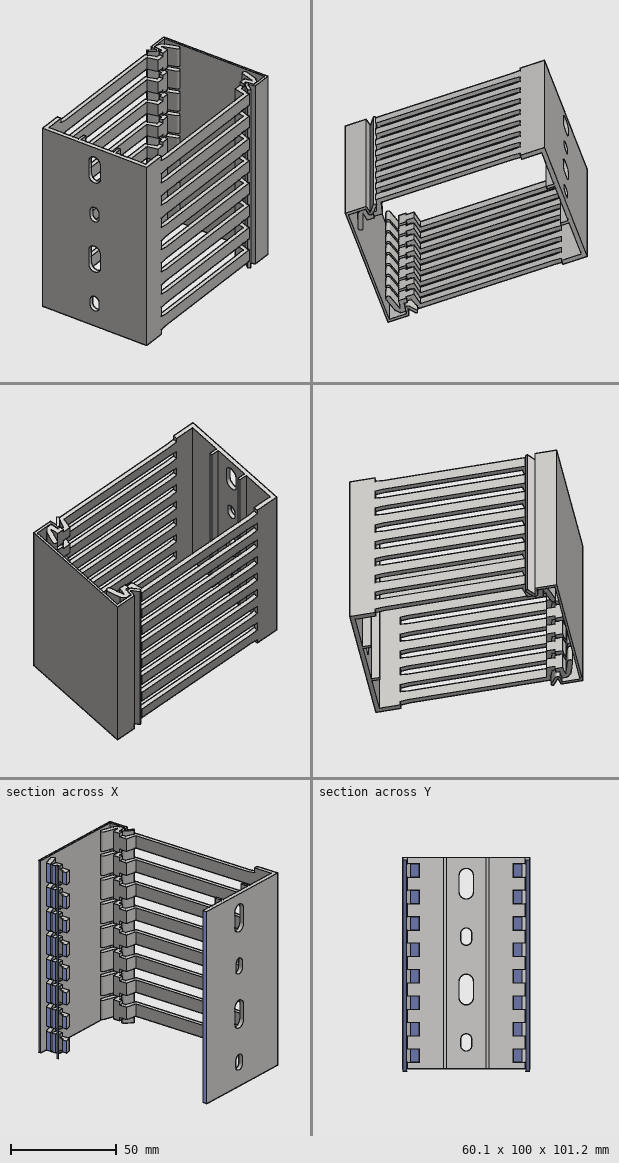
import cadquery as cq


width = 60.1
depth = 100.0
length = 100.0
cover_shift = 1.2
half_width = width / 2

wall = 2.2
rib_height = 6.2
rib_outer_x = 10.7
rib_thickness = 1.3

finger_count = 8
finger_pitch = length / finger_count
finger_height = 6.5
head_height = 10.0
slot_end = 12.3
slot_taper_end = 16.2
slot_end_inset = 0.5
head_step_drop = 11.8

wall_top_drop = 15.3
throat_inset = 5.7
neck_inset = 7.9
head_side_inset = 1.6
arm_tip_inset = 10.6
arm_tip_drop = 3.9
arm_radius = 1.2
arm_direction = cq.Vector(0.95, 0.3).normalized()

mount_count = 4
mount_pitch = length / mount_count
large_mount = (14.4, 6.7)
small_mount = (8.1, 5.1)

cover_wall = 1.3
cover_face = 1.1


def left_point(inset, drop):
    """Profile point near the left wall, from its inset and its drop below the cover face."""
    return (inset - half_width, depth - drop)


def both_sides(left_half):
    """Join the left half of a symmetric body with its mirror image."""
    return left_half.union(left_half.mirror("YZ"))


def channel_half():
    """Left half of the channel: floor, side wall and the snap head on top of it."""
    wall_top = left_point(0, wall_top_drop)
    ledge_start = left_point(1.4, wall_top_drop)
    ledge_end = left_point(throat_inset, 13.7)
    catch_root = left_point(throat_inset, 10.1)
    catch_tip = left_point(head_side_inset, 9.6)
    head_shoulder = left_point(head_side_inset, 7.0)
    arm_root_outer = left_point(3.7, 4.9)
    arm_root_inner = left_point(3.9, 7.4)
    head_top_outer = left_point(throat_inset, 7.9)
    head_top_inner = left_point(neck_inset, 8.1)
    neck_bottom = left_point(neck_inset, 15.9)
    finger_inner_top = left_point(wall, 17.1)

    along = arm_direction * arm_radius
    across = cq.Vector(along.y, along.x)
    arm_tip_outer = left_point(arm_tip_inset - across.x, arm_tip_drop - across.y)
    arm_tip_end = left_point(arm_tip_inset + along.x, arm_tip_drop - along.y)
    arm_tip_inner = left_point(arm_tip_inset + across.x, arm_tip_drop + across.y)

    rib_inner_x = rib_outer_x - rib_thickness
    return (
        cq.Workplane("XY")
        .moveTo(0, 0)
        .lineTo(-half_width, 0)
        .lineTo(*wall_top)
        .lineTo(*ledge_start)
        .lineTo(*ledge_end)
        .lineTo(*catch_root)
        .lineTo(*catch_tip)
        .lineTo(*head_shoulder)
        .lineTo(*arm_root_outer)
        .lineTo(*arm_tip_outer)
        .threePointArc(arm_tip_end, arm_tip_inner)
        .lineTo(*arm_root_inner)
        .lineTo(*head_top_outer)
        .lineTo(*head_top_inner)
        .lineTo(*neck_bottom)
        .lineTo(*finger_inner_top)
        .lineTo(wall - half_width, wall)
        .lineTo(-rib_outer_x, wall)
        .lineTo(-rib_outer_x, rib_height)
        .lineTo(-rib_inner_x, rib_height)
        .lineTo(-rib_inner_x, wall)
        .lineTo(0, wall)
        .close()
        .extrude(length)
    )


def comb_slot(center_z):
    """Cutter through both side walls between two neighbouring fingers."""
    slot_half = (finger_pitch - finger_height) / 2
    end_half = slot_half - slot_end_inset
    head_gap_half = (finger_pitch - head_height) / 2
    step_y = depth - head_step_drop
    upper_side = [
        (slot_end, end_half),
        (slot_taper_end, slot_half),
        (step_y, slot_half),
        (step_y, head_gap_half),
        (depth, head_gap_half),
    ]
    lower_side = [(y, -z) for y, z in reversed(upper_side)]
    return (
        cq.Workplane("YZ")
        .polyline(upper_side + lower_side)
        .close()
        .extrude(half_width, both=True)
        .translate((0, 0, center_z))
    )


def mounting_slots():
    """Cutters for the large and small floor slots, alternating along Z."""
    cutters = []
    for index in range(mount_count):
        slot_length, slot_width = small_mount if index % 2 == 0 else large_mount
        cutter = (
            cq.Workplane("XZ")
            .center(0, (index + 0.5) * mount_pitch)
            .slot2D(slot_length, slot_width, 90)
            .extrude(-wall)
        )
        cutters.append(cutter)
    return cutters


def make_channel():
    """Channel with its comb slots and mounting slots."""
    channel = both_sides(channel_half())
    for index in range(finger_count + 1):
        channel = channel.cut(comb_slot(index * finger_pitch))
    for cutter in mounting_slots():
        channel = channel.cut(cutter)
    return channel


def make_cover():
    """Cover with a V-shaped snap lip along each side."""
    side_bottom = left_point(0, 10.5)
    lip_notch = left_point(3.6, 11.2)
    lip_tip_outer = left_point(0, 14.2)
    lip_tip_middle = left_point(0.3, 14.9)
    lip_tip_inner = left_point(1.2, 15.2)
    bend_end = left_point(4.3, 12.6)
    bend_middle = left_point(4.9, 11.1)
    bend_start = left_point(4.2, 10.1)
    side_inner_bottom = left_point(cover_wall, 9.7)
    side_inner_top = left_point(cover_wall, cover_face)
    half = (
        cq.Workplane("XY")
        .moveTo(0, depth)
        .lineTo(-half_width, depth)
        .lineTo(*side_bottom)
        .lineTo(*lip_notch)
        .lineTo(*lip_tip_outer)
        .threePointArc(lip_tip_middle, lip_tip_inner)
        .lineTo(*bend_end)
        .threePointArc(bend_middle, bend_start)
        .lineTo(*side_inner_bottom)
        .lineTo(*side_inner_top)
        .lineTo(0, depth - cover_face)
        .close()
        .extrude(length)
    )
    return both_sides(half).translate((0, 0, -cover_shift))


channel = make_channel()
cover = make_cover()

result = cq.Compound.makeCompound([channel.solids().val(), cover.solids().val()])